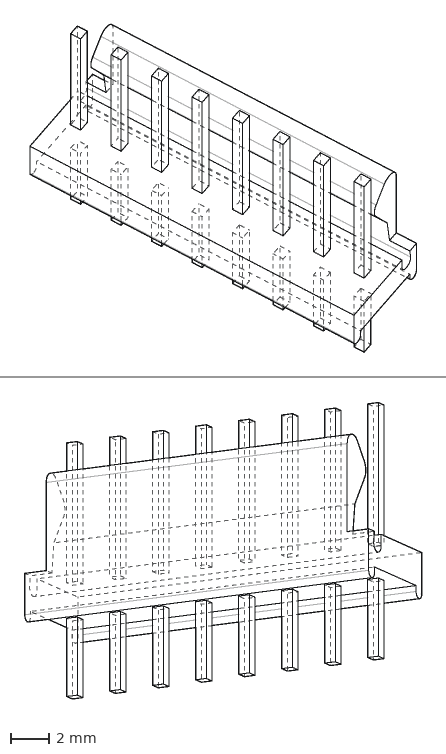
import cadquery as cq
import math


pin_count = 8
pin_width = 0.63
pin_above_base = 7.5
pin_height = 13.6

base_length = 20.32
base_depth = 5.83
base_height = 2.55
back_y = 3.15
front_y = back_y - base_depth
pitch = base_length / pin_count

rail_width = 0.63
rail_radius = rail_width / 2
floor_z = -base_height + rail_width
rail_nose_z = -base_height + rail_radius

slot_radius = 0.4
slot_depth = 1.04
slot_back_gap = 0.55
slot_y = back_y - slot_back_gap - slot_radius
slot_z = slot_radius - slot_depth

latch_length = base_length - pitch
latch_height = 5.35
crown_radius = 0.63
crown_y = back_y - crown_radius
crown_z = latch_height - crown_radius
nose_radius = 0.73
nose_reach = 2.05
nose_y = back_y - nose_reach + nose_radius
nose_z = 3.72
knee_depth = 0.85
knee_y = back_y - knee_depth
knee_z = 1.67


def on_circle(center, radius, angle):
    """Point on a circle in the YZ plane, with the angle measured from +Y toward +Z."""
    return (center[0] + radius * math.cos(angle), center[1] + radius * math.sin(angle))


def tangent_angle(point, center, radius, side):
    """Angle on the circle where a line from the point touches it; side (+1 or -1) picks the tangent."""
    dy = point[0] - center[0]
    dz = point[1] - center[1]
    return math.atan2(dz, dy) + side * math.acos(radius / math.hypot(dy, dz))


crown = (crown_y, crown_z)
nose = (nose_y, nose_z)
knee = (knee_y, knee_z)
slot = (slot_y, slot_z)

center_gap = math.hypot(nose_y - crown_y, nose_z - crown_z)
center_direction = math.atan2(nose_z - crown_z, nose_y - crown_y)
lead_in_angle = center_direction - math.acos((crown_radius - nose_radius) / center_gap)

stem_angle = tangent_angle(knee, slot, slot_radius, -1)
catch_angle = tangent_angle(knee, nose, nose_radius, -1)
stem_foot = on_circle(slot, slot_radius, stem_angle)
stem_slope = (knee_y - stem_foot[0]) / (knee_z - stem_foot[1])
stem_top_y = stem_foot[0] - stem_slope * stem_foot[1]


def extrude_along_x(profile, length):
    """Extrude a closed YZ profile symmetrically about X = 0."""
    return profile.close().extrude(length / 2, both=True)


def make_base():
    profile = (
        cq.Workplane("YZ")
        .moveTo(front_y, 0)
        .lineTo(slot_y - slot_radius, 0)
        .lineTo(slot_y - slot_radius, slot_z)
        .threePointArc((slot_y, slot_z - slot_radius), stem_foot)
        .lineTo(stem_top_y, 0)
        .lineTo(back_y, 0)
        .lineTo(back_y, rail_nose_z)
        .threePointArc((back_y - rail_radius, -base_height), (back_y - rail_width, rail_nose_z))
        .lineTo(back_y - rail_width, floor_z)
        .lineTo(front_y + rail_width, floor_z)
        .lineTo(front_y + rail_width, rail_nose_z)
        .threePointArc((front_y + rail_radius, -base_height), (front_y, rail_nose_z))
    )
    return extrude_along_x(profile, base_length)


def make_latch():
    profile = (
        cq.Workplane("YZ")
        .moveTo(back_y, 0)
        .lineTo(back_y, crown_z)
        .threePointArc((crown_y, latch_height), on_circle(crown, crown_radius, lead_in_angle))
        .lineTo(*on_circle(nose, nose_radius, lead_in_angle))
        .threePointArc((back_y - nose_reach, nose_z), on_circle(nose, nose_radius, catch_angle))
        .lineTo(*knee)
        .lineTo(stem_top_y, 0)
    )
    return extrude_along_x(profile, latch_length)


def make_pins():
    return (
        cq.Workplane("XY", origin=(0, 0, pin_above_base - pin_height))
        .rarray(pitch, 0.2, pin_count, 1)
        .rect(pin_width, pin_width)
        .extrude(pin_height)
    )


result = make_base().union(make_latch()).union(make_pins())